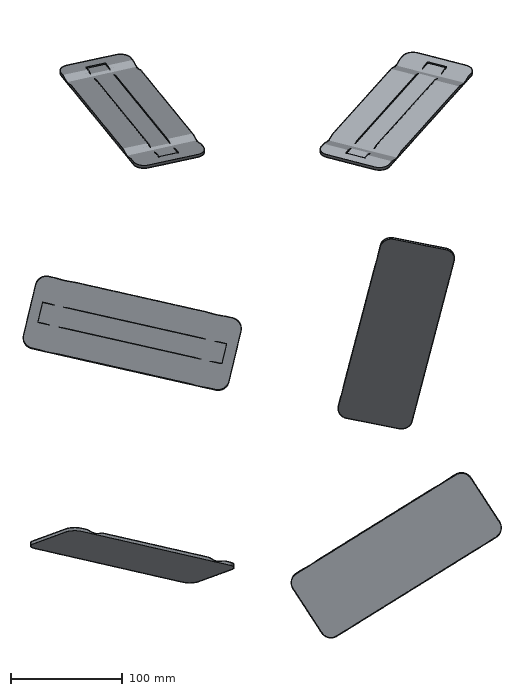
import cadquery as cq
import math

length = 189.2
width = 68.0
thickness = 3.0
corner_radius = 10.0

groove_center = 69.6
groove_half_width = 10.0
bottom_half_width = 6.0
groove_depth = 1.9

pocket_width = 19.0
pocket_depth = 1.3
long_pocket_length = 131.7
end_pocket_inner = 73.8
end_pocket_outer = 84.8


def make_plate():
    plate = cq.Workplane("XY").box(length, width, thickness, centered=(True, True, False))
    return plate.edges("|Z").fillet(corner_radius)


def make_groove(center):
    """Groove cutter whose arcs are tangent to each other and to the top face."""
    slope = 2 * math.atan(groove_depth / groove_half_width)
    bottom_radius = bottom_half_width / math.sin(slope)
    shoulder_radius = (groove_half_width - bottom_half_width) / math.sin(slope)
    bottom = thickness - groove_depth
    blend_z = bottom + bottom_radius * (1 - math.cos(slope))
    shoulder_x = groove_half_width - shoulder_radius * math.sin(slope / 2)
    shoulder_z = thickness - shoulder_radius * (1 - math.cos(slope / 2))
    return (
        cq.Workplane("XZ", origin=(center, 0, 0))
        .moveTo(-groove_half_width, thickness)
        .threePointArc((-shoulder_x, shoulder_z), (-bottom_half_width, blend_z))
        .threePointArc((0, bottom), (bottom_half_width, blend_z))
        .threePointArc((shoulder_x, shoulder_z), (groove_half_width, thickness))
        .close()
        .extrude(width / 2, both=True)
    )


def make_pocket(center, pocket_length):
    return (
        cq.Workplane("XY", origin=(center, 0, thickness - pocket_depth))
        .rect(pocket_length, pocket_width)
        .extrude(pocket_depth)
    )


result = make_plate().cut(make_pocket(0, long_pocket_length))
end_pocket_center = (end_pocket_inner + end_pocket_outer) / 2
end_pocket_length = end_pocket_outer - end_pocket_inner
for side in (-1, 1):
    result = result.cut(make_groove(side * groove_center))
    result = result.cut(make_pocket(side * end_pocket_center, end_pocket_length))